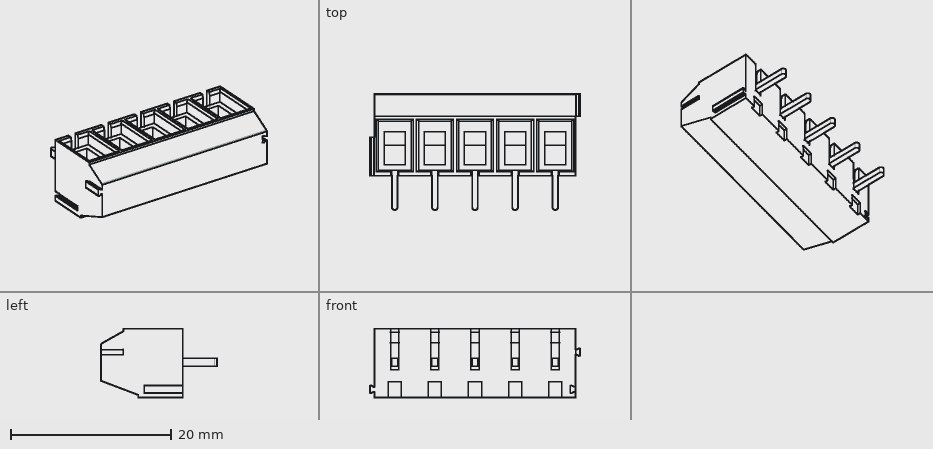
import cadquery as cq
import math


TOTAL_LENGTH = 26.2
TOTAL_HEIGHT = 8.6
POLE_COUNT = 5
POLE_PITCH = 5.0
BODY_LENGTH = 25.1
BODY_DEPTH = 10.22
HALF_BODY = BODY_LENGTH / 2
RAIL_REACH = (TOTAL_LENGTH - BODY_LENGTH) / 2

TOP_DEPTH = 7.41
BASE_DEPTH = 5.58
STEP_HEIGHT = 0.31
BACK_UPPER_HEIGHT = 6.79
BACK_LOWER_HEIGHT = 2.07
BACK_BREAK = 0.15

POCKET_WIDTH = 4.58
POCKET_FRONT = 0.52
POCKET_BACK = 7.05
POCKET_DEPTH = 1.75
REAR_BEVEL_DROP = 0.47
SIDE_BEVEL_DROP = 0.31
BEVEL_SIDE = 0.25
BEVEL_BACK = 0.24
BEVEL_FRONT = 0.15
WELL_FRONT = POCKET_FRONT + BEVEL_FRONT
FLOOR_Z = TOTAL_HEIGHT - POCKET_DEPTH

CLAMP_WIDTH = 2.62
CLAMP_FRONT = 1.41
CLAMP_BACK = 5.48
RAMP_RADIUS = 3.15
RAMP_START_SLOPE = 27.4
RAMP_END_SLOPE = 82.6

SLOT_WIDTH = 1.02
SLOT_DEPTH = WELL_FRONT
SLOT_BOTTOM = 3.48
PIN_WIDTH = 0.73
PIN_HEIGHT = 1.05
PIN_BOTTOM = 3.88
PIN_LENGTH = 4.27
PIN_EMBED = 0.52

NOTCH_WIDTH = 1.62
NOTCH_HEIGHT = 2.0
NOTCH_DEPTH = 0.4

LOWER_RAIL_Z = 1.02
UPPER_RAIL_Z = 5.65
LOWER_RAIL_LENGTH = 4.82
UPPER_RAIL_LENGTH = BODY_DEPTH - TOP_DEPTH
RAIL_NECK_HALF = 0.31
RAIL_TIP_HALF = 0.45
RAIL_PEAK_HALF = 0.5
RAIL_PEAK_START = 0.13
RAIL_NECK_START = 0.45
GROOVE_CLEARANCE = 0.1
GROOVE_DEPTH = RAIL_REACH + GROOVE_CLEARANCE


def box(x_min, x_max, y_min, y_max, z_min, z_max):
    size = (x_max - x_min, y_max - y_min, z_max - z_min)
    return cq.Workplane("XY").box(*size, centered=False).translate((x_min, y_min, z_min))


def make_body():
    outline = [
        (0, 0),
        (BASE_DEPTH, 0),
        (BASE_DEPTH, STEP_HEIGHT),
        (BODY_DEPTH, BACK_LOWER_HEIGHT),
        (BODY_DEPTH, BACK_UPPER_HEIGHT - BACK_BREAK),
        (BODY_DEPTH - BACK_BREAK, BACK_UPPER_HEIGHT),
        (TOP_DEPTH, TOTAL_HEIGHT - STEP_HEIGHT),
        (TOP_DEPTH, TOTAL_HEIGHT),
        (0, TOTAL_HEIGHT),
    ]
    return cq.Workplane("YZ").polyline(outline).close().extrude(HALF_BODY, both=True)


def make_pocket():
    """Bevelled well: a length profile and a width profile, intersected."""
    rear_bevel_z = TOTAL_HEIGHT - REAR_BEVEL_DROP
    side_bevel_z = TOTAL_HEIGHT - SIDE_BEVEL_DROP
    well_back = POCKET_BACK - BEVEL_BACK
    half_mouth = POCKET_WIDTH / 2
    half_well = half_mouth - BEVEL_SIDE
    length_profile = [
        (WELL_FRONT, FLOOR_Z),
        (well_back, FLOOR_Z),
        (well_back, rear_bevel_z),
        (POCKET_BACK, TOTAL_HEIGHT),
        (POCKET_FRONT, TOTAL_HEIGHT),
        (WELL_FRONT, rear_bevel_z),
    ]
    width_profile = [
        (-half_well, FLOOR_Z),
        (half_well, FLOOR_Z),
        (half_well, side_bevel_z),
        (half_mouth, TOTAL_HEIGHT),
        (-half_mouth, TOTAL_HEIGHT),
        (-half_well, side_bevel_z),
    ]
    lengthwise = cq.Workplane("YZ").polyline(length_profile).close().extrude(half_mouth, both=True)
    widthwise = cq.Workplane("XZ").polyline(width_profile).close().extrude(-BODY_DEPTH)
    return lengthwise.intersect(widthwise)


def make_clamp_opening():
    """The ramp bulges upward and steepens from the pocket floor down to the opening's floor."""
    start = math.radians(RAMP_START_SLOPE)
    end = math.radians(RAMP_END_SLOPE)
    axis_y = CLAMP_BACK + RAMP_RADIUS * math.sin(start)
    axis_z = FLOOR_Z - RAMP_RADIUS * math.cos(start)

    def ramp_point(slope):
        return (axis_y - RAMP_RADIUS * math.sin(slope), axis_z + RAMP_RADIUS * math.cos(slope))

    return (
        cq.Workplane("YZ")
        .moveTo(CLAMP_FRONT, FLOOR_Z)
        .lineTo(*ramp_point(start))
        .threePointArc(ramp_point((start + end) / 2), ramp_point(end))
        .lineTo(CLAMP_FRONT, ramp_point(end)[1])
        .close()
        .extrude(CLAMP_WIDTH / 2, both=True)
    )


def make_slot():
    return box(-SLOT_WIDTH / 2, SLOT_WIDTH / 2, 0, SLOT_DEPTH, SLOT_BOTTOM, TOTAL_HEIGHT)


def make_notch():
    return box(-NOTCH_WIDTH / 2, NOTCH_WIDTH / 2, 0, NOTCH_DEPTH, 0, NOTCH_HEIGHT)


def make_pin():
    """Flat pin running out of the slot's back wall to a fully rounded tip."""
    half_width = PIN_WIDTH / 2
    root_y = SLOT_DEPTH + PIN_EMBED
    return (
        cq.Workplane("XY", origin=(0, 0, PIN_BOTTOM))
        .moveTo(half_width, root_y)
        .lineTo(half_width, half_width - PIN_LENGTH)
        .threePointArc((0, -PIN_LENGTH), (-half_width, half_width - PIN_LENGTH))
        .lineTo(-half_width, root_y)
        .close()
        .extrude(PIN_HEIGHT)
    )


def rail_section(neck_end):
    """Dovetail section with its tip at X = 0, flaring from a neck that ends at X = neck_end."""
    outline = [
        (neck_end, RAIL_NECK_HALF),
        (RAIL_NECK_START, RAIL_NECK_HALF),
        (RAIL_PEAK_START, RAIL_PEAK_HALF),
        (0, RAIL_TIP_HALF),
        (0, -RAIL_TIP_HALF),
        (RAIL_PEAK_START, -RAIL_PEAK_HALF),
        (RAIL_NECK_START, -RAIL_NECK_HALF),
        (neck_end, -RAIL_NECK_HALF),
    ]
    return cq.Workplane("XZ").polyline(outline).close()


def lower_rail(tip_x, neck_length):
    rail = rail_section(neck_length).extrude(-LOWER_RAIL_LENGTH)
    return rail.translate((tip_x, 0, LOWER_RAIL_Z))


def upper_rail(tip_x, neck_length):
    rail = rail_section(neck_length).extrude(-UPPER_RAIL_LENGTH)
    rail = rail.rotate((0, 0, 0), (0, 1, 0), 180)
    return rail.translate((tip_x, BODY_DEPTH - UPPER_RAIL_LENGTH, UPPER_RAIL_Z))


result = make_body()
result = result.union(lower_rail(-TOTAL_LENGTH / 2, RAIL_REACH))
result = result.union(upper_rail(TOTAL_LENGTH / 2, RAIL_REACH))
result = result.cut(lower_rail(HALF_BODY - GROOVE_DEPTH, GROOVE_DEPTH))
result = result.cut(upper_rail(-HALF_BODY + GROOVE_DEPTH, GROOVE_DEPTH))

cutter = make_pocket().union(make_clamp_opening()).union(make_slot()).union(make_notch())
pin = make_pin()
for index in range(POLE_COUNT):
    pole_x = (index - (POLE_COUNT - 1) / 2) * POLE_PITCH
    result = result.cut(cutter.translate((pole_x, 0, 0)))
    result = result.union(pin.translate((pole_x, 0, 0)))